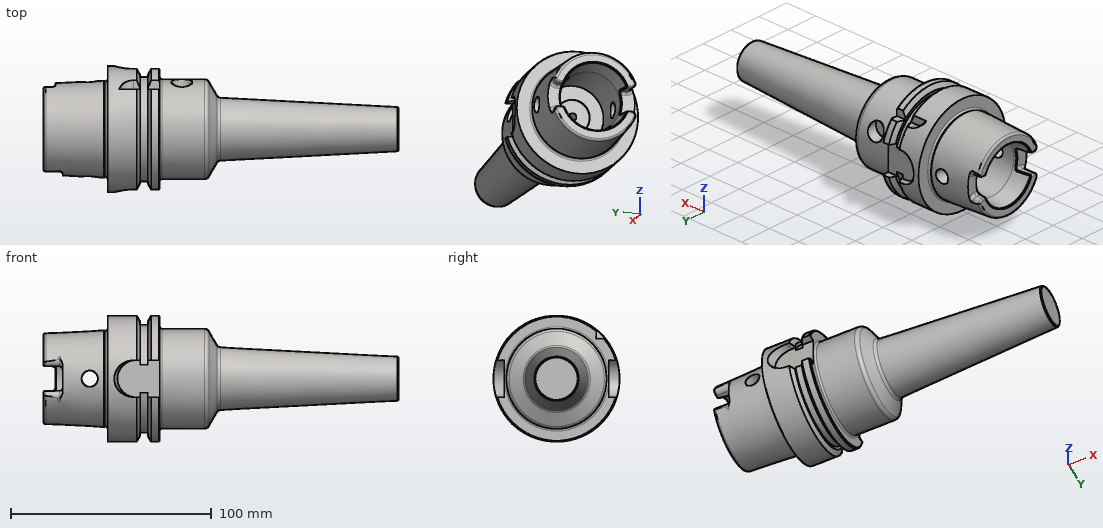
import cadquery as cq
import math


overall_length = 177.0
shank_length = 32.0
shank_end = -shank_length
nose_end = overall_length - shank_length
flange_width = 26.0
groove_start = 16.2
groove_end = 20.0
body_end = 49.7

flange_radius = 31.5
flange_rim_chamfer = 0.6
groove_radius = 27.0
groove_chamfer_width = 1.7
groove_chamfer_depth = groove_chamfer_width * math.tan(math.radians(60))

body_radius = 25.0
body_root_fillet = 1.0
body_edge_fillet = 2.6
shoulder_angle = math.radians(60)
shaft_root_radius = 15.8
shaft_root_fillet = 2.0
shaft_tip_radius = 11.1
shaft_tip_chamfer = 0.6
shaft_start = body_end + (body_radius - shaft_root_radius) / math.tan(shoulder_angle)

taper_base_radius = 24.3
taper_slope = 1.0 / 20.0
shank_rim_round = 1.2
relief_width = 1.9
relief_ramp = 0.5
relief_radius = 24.0
relief_fillet = 1.0

bore_entry_radius = 17.4
bore_radius = 15.8
bore_cone_length = 11.5
bore_floor = 8.0
recess_radius = 8.7
recess_depth = 0.5
pilot_radius = 1.9
pilot_depth = 10.0
drill_tip_half_angle = math.radians(59)

cross_hole_diameter = 8.0
cross_hole_x = -8.9

drive_half_width = 6.1
drive_tangent_radius = 23.05
drive_corner_radius = 2.6
drive_lip_length = 6.0
drive_floor_fillet = 1.6
drive_mouth_round = 0.9
drive_bore_chamfer = 0.5
drive_depth_front = 9.6
drive_depth_back = 6.0

keyway_half_width = 9.2
keyway_centre_x = 14.1
keyway_floor = 26.1
keyway_end_lean = 0.3

notch_floor_y = 19.8
notch_wall_z = 20.0
notch_end_radius = 7.8
notch_centre_x = 12.8
side_hole_diameter = 10.4
side_hole_x = 37.0
side_hole_z = 8.4
side_hole_floor_y = 18.0

clearance = 1.0
outside = flange_radius + clearance
pick_margin = 0.01


def revolve_about_x(points):
    return cq.Workplane("XY").polyline(points).close().revolve(360, (0, 0, 0), (1, 0, 0))


def taper_radius(x):
    """Radius of the 1:10 shank taper at station x."""
    return taper_base_radius + taper_slope * x


def edges_at(x, radius):
    """Selects the edges lying in the plane at station x, no farther out than radius."""
    reach = radius + pick_margin
    return cq.selectors.BoxSelector(
        (x - pick_margin, -reach, -reach), (x + pick_margin, reach, reach), boundingbox=True
    )


def make_blank():
    """Turned outside shape with its rounded edges."""
    relief_start = -relief_width
    blank = revolve_about_x([
        (shank_end, 0),
        (shank_end, taper_radius(shank_end)),
        (relief_start, taper_radius(relief_start)),
        (relief_start + relief_ramp, relief_radius),
        (0, relief_radius),
        (0, flange_radius),
        (groove_start - groove_chamfer_width, flange_radius),
        (groove_start, flange_radius - groove_chamfer_depth),
        (groove_start, groove_radius),
        (groove_end, groove_radius),
        (groove_end, flange_radius - groove_chamfer_depth),
        (groove_end + groove_chamfer_width, flange_radius),
        (flange_width - flange_rim_chamfer, flange_radius),
        (flange_width, flange_radius - flange_rim_chamfer),
        (flange_width, body_radius),
        (body_end, body_radius),
        (shaft_start, shaft_root_radius),
        (nose_end - shaft_tip_chamfer, shaft_tip_radius),
        (nose_end, shaft_tip_radius - shaft_tip_chamfer),
        (nose_end, 0),
    ])
    rounded_edges = [
        (shank_end, taper_radius(shank_end), shank_rim_round),
        (0, relief_radius, relief_fillet),
        (flange_width, body_radius, body_root_fillet),
        (body_end, body_radius, body_edge_fillet),
        (shaft_start, shaft_root_radius, shaft_root_fillet),
    ]
    for x, radius, fillet in rounded_edges:
        blank = blank.edges(edges_at(x, radius)).fillet(fillet)
    return blank


def make_bore():
    """Conical entry, straight bore, shallow floor recess and a drilled pilot hole."""
    pilot_tip = pilot_depth + pilot_radius / math.tan(drill_tip_half_angle)
    return revolve_about_x([
        (shank_end, 0),
        (shank_end, bore_entry_radius),
        (shank_end + bore_cone_length, bore_radius),
        (bore_floor, bore_radius),
        (bore_floor, recess_radius),
        (bore_floor + recess_depth, recess_radius),
        (bore_floor + recess_depth, pilot_radius),
        (bore_floor + pilot_depth, pilot_radius),
        (bore_floor + pilot_tip, 0),
    ])


def make_drive_slot(side, depth):
    """Cutter for one drive slot, on the +Y (side = 1) or -Y (side = -1) half of the rim.

    Each wall turns outward in an arc that meets a circle around the X axis tangentially.
    """
    radius = drive_corner_radius
    centre_z = drive_half_width + radius
    centre_y = math.sqrt((drive_tangent_radius - radius) ** 2 - centre_z ** 2)
    tangent_angle = math.atan2(centre_z, centre_y)
    middle_angle = (tangent_angle - math.pi / 2) / 2

    def arc_point(angle):
        return centre_y + radius * math.cos(angle), centre_z + radius * math.sin(angle)

    middle_y, middle_z = arc_point(middle_angle)
    tangent_y, tangent_z = arc_point(tangent_angle)
    lip_y = tangent_y - drive_lip_length * math.sin(tangent_angle)
    lip_z = tangent_z + drive_lip_length * math.cos(tangent_angle)

    slot = (
        cq.Workplane("YZ", origin=(shank_end, 0, 0))
        .moveTo(0, -drive_half_width)
        .lineTo(side * centre_y, -drive_half_width)
        .threePointArc((side * middle_y, -middle_z), (side * tangent_y, -tangent_z))
        .lineTo(side * lip_y, -lip_z)
        .lineTo(side * outside, -lip_z)
        .lineTo(side * outside, lip_z)
        .lineTo(side * lip_y, lip_z)
        .lineTo(side * tangent_y, tangent_z)
        .threePointArc((side * middle_y, middle_z), (side * centre_y, drive_half_width))
        .lineTo(0, drive_half_width)
        .close()
        .extrude(depth)
        .faces(">X")
        .edges()
        .fillet(drive_floor_fillet)
    )
    plate_size = 3 * flange_radius
    plate = cq.Workplane("YZ", origin=(shank_end, 0, 0)).rect(plate_size, plate_size).extrude(-clearance)
    return plate.union(slot).edges(edges_at(shank_end, outside)).fillet(drive_mouth_round)


def slot_floor_bore_edge(side, depth):
    """Selects the edge where the floor of a drive slot meets the bore."""
    x = shank_end + depth
    near, far = sorted((side * (bore_radius - clearance), side * (bore_entry_radius + clearance)))
    return cq.selectors.BoxSelector(
        (x - pick_margin, near, -drive_half_width), (x + pick_margin, far, drive_half_width), boundingbox=True
    )


def make_cross_hole():
    return (
        cq.Workplane("XZ")
        .center(cross_hole_x, 0)
        .circle(cross_hole_diameter / 2)
        .extrude(outside, both=True)
    )


def make_keyway(side):
    """Flat-floored keyway open toward +X; its round end leans toward the shank as it rises."""
    height = outside - keyway_floor
    open_end = flange_width + height
    outline = (
        cq.Workplane("XZ", origin=(0, side * keyway_floor, 0))
        .moveTo(open_end, -keyway_half_width)
        .lineTo(keyway_centre_x, -keyway_half_width)
        .threePointArc(
            (keyway_centre_x - keyway_half_width, 0), (keyway_centre_x, keyway_half_width))
        .lineTo(open_end, keyway_half_width)
        .close()
        .wire()
        .val()
    )
    rise = cq.Vector(-keyway_end_lean * height, side * height, 0)
    return cq.Workplane(cq.Solid.extrudeLinear(outline, [], rise))


def make_notch():
    """Round-ended notch in the +Y +Z quarter of the flange, open toward +X."""
    centre_z = notch_wall_z + notch_end_radius
    top_z = centre_z + notch_end_radius
    return (
        cq.Workplane("XZ", origin=(0, notch_floor_y, 0))
        .moveTo(flange_width, notch_wall_z)
        .lineTo(notch_centre_x, notch_wall_z)
        .threePointArc((notch_centre_x - notch_end_radius, centre_z), (notch_centre_x, top_z))
        .lineTo(flange_width, top_z)
        .close()
        .extrude(notch_floor_y - outside)
    )


def make_side_hole():
    """Blind hole along Y, above the centre plane of the body."""
    return (
        cq.Workplane("XZ", origin=(0, side_hole_floor_y, 0))
        .center(side_hole_x, side_hole_z)
        .circle(side_hole_diameter / 2)
        .extrude(side_hole_floor_y - outside)
    )


part = make_blank().cut(make_bore())

for slot_side, slot_depth in [(-1, drive_depth_front), (1, drive_depth_back)]:
    part = part.cut(make_drive_slot(slot_side, slot_depth))
    part = part.edges(slot_floor_bore_edge(slot_side, slot_depth)).chamfer(drive_bore_chamfer)

part = part.cut(make_cross_hole())

for keyway_side in (-1, 1):
    part = part.cut(make_keyway(keyway_side))

result = part.cut(make_notch()).cut(make_side_hole())